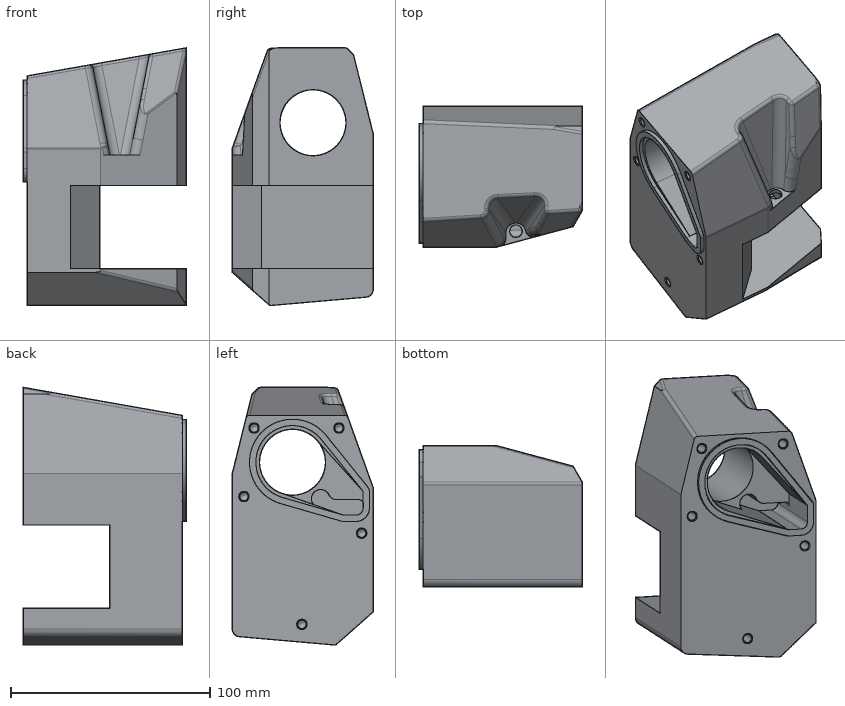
import cadquery as cq
import math

LENGTH = 80.0
WIDTH = 70.92
HEIGHT = 129.46

FRONT_KNEE_Z = 78.9
FRONT_LEAN = 19.75
BACK_KNEE_Z = 86.1
BACK_LEAN = 14.0
BACK_CHAMFER_Z = 126.0
LOWER_KNEE_Z = 16.7
LOWER_ANGLE = 41.5
BOTTOM_TILT = 5.0
BACK_BOTTOM_RADIUS = 4.0
TOP_TILT = 10.0
EDGE_RADIUS = 2.0

TAPER_START_X = 36.8
TAPER_ANGLE = 15.0
BEVEL_START_X = 75.3
BEVEL_ANGLE = 60.0

SPARE_LENGTH = 6.0
STOCK_LENGTH = LENGTH + SPARE_LENGTH

OPENING_BOTTOM_Z = 18.5
OPENING_TOP_Z = 60.2
OPENING_WALL_X = 36.6
OPENING_FRONT_X = 21.8

POCKET_X = 46.6
POCKET_FLOOR_Z = 75.5
POCKET_FLOOR_WIDTH = 10.0
POCKET_SIDE_LEAN = 11.0
POCKET_BACK_Y = 12.1
POCKET_BACK_LEAN = 15.5
POCKET_CORNER_RADIUS = 4.9
MOUTH_RADIUS = 4.0
POCKET_HOLE_Y = 8.1
POCKET_HOLE_DIAMETER = 6.2

BORE_Y = 40.6
BORE_Z = 91.8
BORE_RADIUS = 16.5
CAVITY_DEPTH = 30.0
RIM_HEIGHT = 2.0
RIM_INNER_RADIUS = 18.4
RIM_WALL = 3.2
TEARDROP_FRONT_Y = 5.2
TEARDROP_FRONT_Z = 77.2
TEARDROP_BOTTOM_Y = 15.2
TEARDROP_BOTTOM_Z = 65.3
TEARDROP_CORNER_RADIUS = 3.4

CHANNEL_END_X = 50.0
CHANNEL_TOP_Z = 73.0
CHANNEL_LOBE_RADIUS = 4.6
CHANNEL_LOBE_Y = 26.5
CHANNEL_LOBE_Z = 73.5
CHANNEL_THROAT_RADIUS = 4.5
CHANNEL_UPPER_RADIUS = 2.0

SCREW_CENTRES = [(59.9, 109.0), (17.3, 109.0), (65.0, 74.6), (5.9, 56.2), (35.9, 10.4)]
SCREW_DIAMETER = 4.2
SCREW_DEPTH = 12.0
SCREW_CHAMFER = 0.5
DRILL_POINT_ANGLE = 118.0


def tan(degrees):
    return math.tan(math.radians(degrees))


def cos(degrees):
    return math.cos(math.radians(degrees))


def taper_y(x):
    return (x - TAPER_START_X) * tan(TAPER_ANGLE)


def top_z(x):
    return HEIGHT - (LENGTH - x) * tan(TOP_TILT)


def front_slope_y(z):
    return (z - FRONT_KNEE_Z) * tan(FRONT_LEAN)


def front_slope_z(y):
    return FRONT_KNEE_Z + y / tan(FRONT_LEAN)


def pocket_back_y(z):
    return POCKET_BACK_Y + (z - POCKET_FLOOR_Z) * tan(POCKET_BACK_LEAN)


def pocket_side_x(z, side):
    return POCKET_X + side * (POCKET_FLOOR_WIDTH / 2 + (z - POCKET_FLOOR_Z) * tan(POCKET_SIDE_LEAN))


def back_slope_y(z):
    return WIDTH - (z - BACK_KNEE_Z) * tan(BACK_LEAN)


STOCK_HEIGHT = top_z(STOCK_LENGTH)
BEVEL_START_Y = taper_y(BEVEL_START_X)
BEVEL_END_Y = BEVEL_START_Y + (STOCK_LENGTH - BEVEL_START_X) * tan(BEVEL_ANGLE)


def edge_near(solid, point):
    """Return the edge of the solid that passes closest to a point."""
    probe = cq.Vertex.makeVertex(*point)
    return min(solid.Edges(), key=lambda edge: edge.distance(probe))


def round_edges(solid, points, radius):
    return solid.fillet(radius, [edge_near(solid, point) for point in points])


def make_body():
    half_turn = (LOWER_ANGLE + BOTTOM_TILT) / 2
    corner_lean = (LOWER_ANGLE - BOTTOM_TILT) / 2
    corner_z = EDGE_RADIUS * (1 - cos(corner_lean) / cos(half_turn))
    corner_y = (LOWER_KNEE_Z - corner_z) / tan(LOWER_ANGLE)
    back_bottom_z = corner_z + (WIDTH - corner_y) * tan(BOTTOM_TILT)
    chamfer_y = back_slope_y(BACK_CHAMFER_Z)
    middle_x = STOCK_LENGTH / 2
    outline = [
        (0, LOWER_KNEE_Z),
        (0, FRONT_KNEE_Z),
        (front_slope_y(STOCK_HEIGHT), STOCK_HEIGHT),
        (chamfer_y - (STOCK_HEIGHT - BACK_CHAMFER_Z), STOCK_HEIGHT),
        (chamfer_y, BACK_CHAMFER_Z),
        (WIDTH, BACK_KNEE_Z),
        (WIDTH, back_bottom_z),
        (corner_y, corner_z),
    ]
    body = cq.Workplane("YZ").polyline(outline).close().extrude(STOCK_LENGTH)
    body = round_edges(body.val(), [(middle_x, WIDTH, back_bottom_z)], BACK_BOTTOM_RADIUS)
    body = round_edges(body, [(middle_x, corner_y, corner_z)], EDGE_RADIUS)

    plan_trim = (
        cq.Workplane("XY")
        .polyline([
            (TAPER_START_X, 0),
            (BEVEL_START_X, BEVEL_START_Y),
            (STOCK_LENGTH, BEVEL_END_Y),
            (STOCK_LENGTH, 0),
        ])
        .close()
        .extrude(STOCK_HEIGHT)
    )
    top_trim = (
        cq.Workplane("XZ")
        .polyline([(0, top_z(0)), (STOCK_LENGTH, STOCK_HEIGHT), (0, STOCK_HEIGHT)])
        .close()
        .extrude(-WIDTH)
    )
    return cq.Workplane(body).cut(plan_trim).cut(top_trim)


def make_pocket():
    """Wedge narrowing downwards, with leaning flat walls and round inner corners."""
    sides = (
        cq.Workplane("XZ")
        .polyline([
            (pocket_side_x(POCKET_FLOOR_Z, -1), POCKET_FLOOR_Z),
            (pocket_side_x(POCKET_FLOOR_Z, 1), POCKET_FLOOR_Z),
            (pocket_side_x(HEIGHT, 1), HEIGHT),
            (pocket_side_x(HEIGHT, -1), HEIGHT),
        ])
        .close()
        .extrude(-WIDTH)
    )
    back = (
        cq.Workplane("YZ")
        .polyline([
            (0, POCKET_FLOOR_Z),
            (POCKET_BACK_Y, POCKET_FLOOR_Z),
            (pocket_back_y(HEIGHT), HEIGHT),
            (0, HEIGHT),
        ])
        .close()
        .extrude(LENGTH)
    )
    wedge = sides.intersect(back)
    middle_z = (POCKET_FLOOR_Z + HEIGHT) / 2
    corners = [(pocket_side_x(middle_z, side), pocket_back_y(middle_z), middle_z) for side in (-1, 1)]
    return round_edges(wedge.val(), corners, POCKET_CORNER_RADIUS)


def make_flared_pocket():
    """Pocket whose far side rolls out into the tapered front face."""
    block = (
        cq.Workplane("XY", origin=(0, 0, POCKET_FLOOR_Z))
        .polyline([
            (0, taper_y(0)),
            (STOCK_LENGTH, taper_y(STOCK_LENGTH)),
            (STOCK_LENGTH, WIDTH),
            (0, WIDTH),
        ])
        .close()
        .extrude(HEIGHT - POCKET_FLOOR_Z)
    )
    notched = block.cut(cq.Workplane(make_pocket()))
    middle_z = (POCKET_FLOOR_Z + HEIGHT) / 2
    flare_x = pocket_side_x(middle_z, 1)
    flared = round_edges(notched.val(), [(flare_x, taper_y(flare_x), middle_z)], MOUTH_RADIUS)
    return block.cut(cq.Workplane(flared))


def round_body_edges(body):
    """Round the long edges that do not meet the pocket."""
    flat_x = TAPER_START_X / 2
    taper_x = (TAPER_START_X + BEVEL_START_X) / 2
    bevel_x = (BEVEL_START_X + LENGTH) / 2
    bevel_y = BEVEL_START_Y + (bevel_x - BEVEL_START_X) * tan(BEVEL_ANGLE)
    edges = [
        (flat_x, back_slope_y(top_z(flat_x)), top_z(flat_x)),
        (LENGTH, back_slope_y(BACK_CHAMFER_Z) - (HEIGHT - BACK_CHAMFER_Z), HEIGHT),
        (flat_x, 0, FRONT_KNEE_Z),
        (taper_x, taper_y(taper_x), front_slope_z(taper_y(taper_x))),
        (bevel_x, bevel_y, front_slope_z(bevel_y)),
        (taper_x, taper_y(taper_x), LOWER_KNEE_Z - taper_y(taper_x) * tan(LOWER_ANGLE)),
    ]
    return round_edges(body.val(), edges, EDGE_RADIUS)


def round_pocket_mouth(body):
    slope_z = (FRONT_KNEE_Z + HEIGHT) / 2
    near_edge = (pocket_side_x(slope_z, -1), front_slope_y(slope_z), slope_z)
    body = round_edges(body, [near_edge], MOUTH_RADIUS)

    upper_z = (slope_z + HEIGHT) / 2
    far_edge = (pocket_side_x(upper_z, 1), front_slope_y(upper_z), upper_z)
    top_back = (POCKET_X, pocket_back_y(top_z(POCKET_X)), top_z(POCKET_X))
    top_front = (BEVEL_START_X, front_slope_y(top_z(BEVEL_START_X)), top_z(BEVEL_START_X))
    return round_edges(body, [far_edge, top_back, top_front], EDGE_RADIUS)


def make_spare_end():
    return (
        cq.Workplane("YZ", origin=(LENGTH, 0, 0))
        .rect(WIDTH, STOCK_HEIGHT, centered=False)
        .extrude(SPARE_LENGTH)
    )


def make_opening():
    return (
        cq.Workplane("XY", origin=(0, 0, OPENING_BOTTOM_Z))
        .polyline([
            (OPENING_FRONT_X, 0),
            (OPENING_WALL_X, OPENING_WALL_X - OPENING_FRONT_X),
            (OPENING_WALL_X, WIDTH),
            (LENGTH, WIDTH),
            (LENGTH, 0),
        ])
        .close()
        .extrude(OPENING_TOP_Z - OPENING_BOTTOM_Z)
    )


def tangent_point(y, z, radius, side):
    """Touch point on the bore-centred circle of a line from (y, z)."""
    direction = math.atan2(z - BORE_Z, y - BORE_Y)
    distance = math.hypot(y - BORE_Y, z - BORE_Z)
    angle = direction + side * math.acos(radius / distance)
    return (BORE_Y + radius * math.cos(angle), BORE_Z + radius * math.sin(angle))


def teardrop(radius, start_x, end_x):
    """Bore-centred round drawn out to a square toe at the lower front."""
    upper = tangent_point(TEARDROP_FRONT_Y, TEARDROP_FRONT_Z, radius, -1)
    lower = tangent_point(TEARDROP_BOTTOM_Y, TEARDROP_BOTTOM_Z, radius, 1)
    rear = (BORE_Y + radius, BORE_Z)
    solid = (
        cq.Workplane("YZ", origin=(start_x, 0, 0))
        .moveTo(*lower)
        .threePointArc(rear, upper)
        .lineTo(TEARDROP_FRONT_Y, TEARDROP_FRONT_Z)
        .lineTo(TEARDROP_FRONT_Y, TEARDROP_BOTTOM_Z)
        .lineTo(TEARDROP_BOTTOM_Y, TEARDROP_BOTTOM_Z)
        .close()
        .extrude(end_x - start_x)
    )
    corner = ((start_x + end_x) / 2, TEARDROP_FRONT_Y, TEARDROP_BOTTOM_Z)
    return cq.Workplane(round_edges(solid.val(), [corner], TEARDROP_CORNER_RADIUS))


def make_rim():
    inner = teardrop(RIM_INNER_RADIUS, -RIM_HEIGHT, 0)
    outline = inner.faces("<X").wires().val().offset2D(RIM_WALL)[0]
    outer = cq.Solid.extrudeLinear(outline, [], cq.Vector(RIM_HEIGHT, 0, 0))
    return cq.Workplane(outer).cut(inner)


def make_bore():
    through = cq.Workplane("YZ").center(BORE_Y, BORE_Z).circle(BORE_RADIUS).extrude(LENGTH)
    return through.union(teardrop(BORE_RADIUS, 0, CAVITY_DEPTH))


def make_channel():
    """Keyhole-shaped passage along the toe of the cavity, under the pocket hole."""
    length = CHANNEL_END_X - CAVITY_DEPTH
    section = cq.Workplane("YZ", origin=(CAVITY_DEPTH, 0, 0))
    lobe = section.center(CHANNEL_LOBE_Y, CHANNEL_LOBE_Z).circle(CHANNEL_LOBE_RADIUS).extrude(length)
    duct = (
        section.moveTo(TEARDROP_FRONT_Y, TEARDROP_BOTTOM_Z)
        .lineTo(TEARDROP_FRONT_Y, CHANNEL_TOP_Z)
        .lineTo(CHANNEL_LOBE_Y, CHANNEL_TOP_Z)
        .lineTo(CHANNEL_LOBE_Y, TEARDROP_BOTTOM_Z)
        .close()
        .extrude(length)
    )
    channel = lobe.union(duct).intersect(teardrop(BORE_RADIUS, CAVITY_DEPTH, CHANNEL_END_X)).val()
    middle_x = CAVITY_DEPTH + length / 2
    throat_y = CHANNEL_LOBE_Y - CHANNEL_LOBE_RADIUS
    channel = round_edges(channel, [(middle_x, throat_y, CHANNEL_TOP_Z)], CHANNEL_THROAT_RADIUS)
    upper_corner = (middle_x, TEARDROP_FRONT_Y, CHANNEL_TOP_Z)
    channel = round_edges(channel, [upper_corner], CHANNEL_UPPER_RADIUS)
    return cq.Workplane(channel)


def make_pocket_hole():
    channel_middle_z = (CHANNEL_TOP_Z + TEARDROP_BOTTOM_Z) / 2
    return (
        cq.Workplane("XY", origin=(POCKET_X, POCKET_HOLE_Y, channel_middle_z))
        .circle(POCKET_HOLE_DIAMETER / 2)
        .extrude(POCKET_FLOOR_Z - channel_middle_z)
    )


def make_screw_hole(y, z):
    radius = SCREW_DIAMETER / 2
    point_depth = radius / tan(DRILL_POINT_ANGLE / 2)
    return (
        cq.Workplane("XY", origin=(0, y, z))
        .polyline([
            (0, 0),
            (0, radius + SCREW_CHAMFER),
            (SCREW_CHAMFER, radius),
            (SCREW_DEPTH, radius),
            (SCREW_DEPTH + point_depth, 0),
        ])
        .close()
        .revolve(360, (0, 0, 0), (1, 0, 0))
    )


def build_part():
    body = round_body_edges(make_body())
    body = cq.Workplane(body).cut(make_flared_pocket()).val()
    body = round_pocket_mouth(body)
    part = cq.Workplane(body).cut(make_spare_end()).cut(make_opening()).union(make_rim())
    part = part.cut(make_bore()).cut(make_channel()).cut(make_pocket_hole())
    for y, z in SCREW_CENTRES:
        part = part.cut(make_screw_hole(y, z))
    return part


result = build_part()